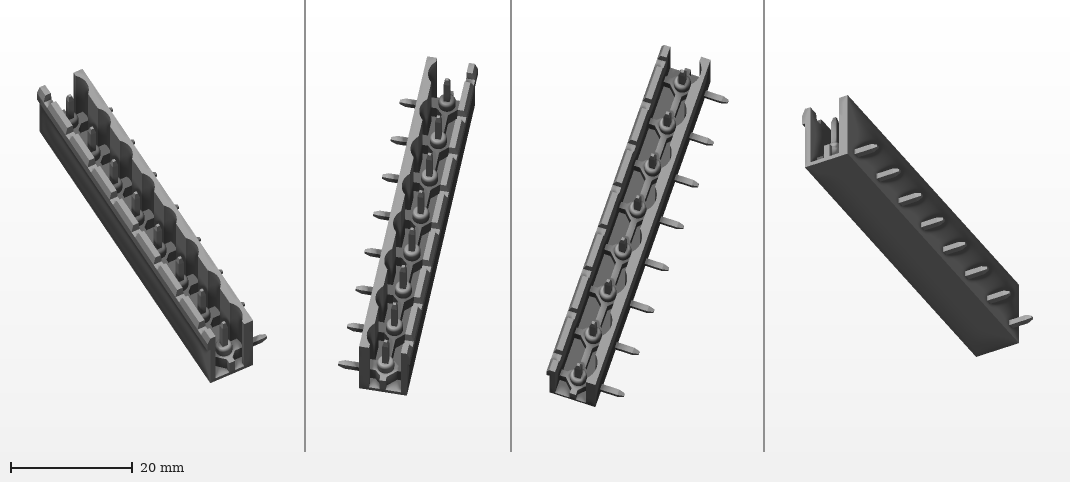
import cadquery as cq
import math


LENGTH = 59.15
DEPTH = 8.0
HEIGHT = 12.0
BACK_WALL = 1.65
FRONT_WALL = 1.0
FLOOR = 0.7
BACK_WALL_Y = DEPTH - BACK_WALL

PIN_COUNT = 8
PIN_SPAN = 53.35
PITCH = PIN_SPAN / (PIN_COUNT - 1)
FIRST_PIN_X = (LENGTH - PIN_SPAN) / 2
PIN_XS = [FIRST_PIN_X + i * PITCH for i in range(PIN_COUNT)]

PIN_SIZE = 1.0
PIN_TIP_SIZE = PIN_SIZE / 2
PIN_TAPER = 1.0
PIN_Y = 4.1
TAIL_Z = 1.95
PIN_TOP = 10.5
TAIL_END = 12.0

BEAD_OUT = 0.5
BEAD_BOTTOM = 9.0
BEAD_SHOULDER = 10.75

NOTCH_DEPTH = HEIGHT - BEAD_SHOULDER
NOTCH_BOTTOM_WIDTH = 1.2
NOTCH_DRAFT = 15.0
NOTCH_TOP_WIDTH = NOTCH_BOTTOM_WIDTH + 2 * NOTCH_DEPTH * math.tan(math.radians(NOTCH_DRAFT))

SCALLOP_RADIUS = 2.95
SCALLOP_DEPTH = 0.9
SCALLOP_Y = BACK_WALL_Y + SCALLOP_DEPTH - SCALLOP_RADIUS

RAIL_TOP = 3.2
RAIL_WIDTH = 1.05
PAD_HALF_LENGTH = 2.0
FRONT_RIB_WIDTH = 1.05
BACK_RIB_WIDTH = 2.0

COLLAR_DIAMETER = 2.8
COLLAR_TOP = 4.8
COLLAR_FILLET = 0.5


def box(x0, x1, y0, y1, z0, z1):
    """Box given by its limits on each axis."""
    return cq.Workplane("XY").box(x1 - x0, y1 - y0, z1 - z0, centered=False).translate((x0, y0, z0))


def make_shell():
    """Trough with open ends and a latch bead on the front wall."""
    profile = [
        (0, 0),
        (DEPTH, 0),
        (DEPTH, HEIGHT),
        (BACK_WALL_Y, HEIGHT),
        (BACK_WALL_Y, FLOOR),
        (FRONT_WALL, FLOOR),
        (FRONT_WALL, HEIGHT),
        (0, HEIGHT),
        (-BEAD_OUT, BEAD_SHOULDER),
        (-BEAD_OUT, BEAD_BOTTOM),
        (0, BEAD_BOTTOM),
    ]
    return cq.Workplane("YZ").polyline(profile).close().extrude(LENGTH)


def make_scallop(x):
    """Cylinder that hollows the back wall behind one pin."""
    height = HEIGHT - FLOOR
    cylinder = cq.Workplane("XY", origin=(x, SCALLOP_Y, FLOOR)).circle(SCALLOP_RADIUS).extrude(height)
    back_half = box(0, LENGTH, SCALLOP_Y, DEPTH, FLOOR, HEIGHT)
    return cylinder.intersect(back_half)


def make_notch(x):
    """Tapered notch through the front wall and its bead."""
    outline = [
        (x - NOTCH_BOTTOM_WIDTH / 2, BEAD_SHOULDER),
        (x + NOTCH_BOTTOM_WIDTH / 2, BEAD_SHOULDER),
        (x + NOTCH_TOP_WIDTH / 2, HEIGHT),
        (x - NOTCH_TOP_WIDTH / 2, HEIGHT),
    ]
    notch = cq.Workplane("XZ", origin=(0, FRONT_WALL, 0)).polyline(outline).close()
    return notch.extrude(FRONT_WALL + BEAD_OUT)


def make_pad(x):
    """Widened part of the rail with 45 degree flanks and ribs into both walls, topped by a collar."""
    rail_half = RAIL_WIDTH / 2
    front_half = FRONT_RIB_WIDTH / 2
    back_half = BACK_RIB_WIDTH / 2
    front_rib_y = PIN_Y - rail_half - (PAD_HALF_LENGTH - front_half)
    back_rib_y = PIN_Y + rail_half + (PAD_HALF_LENGTH - back_half)
    right_side = [
        (front_half, 0),
        (front_half, front_rib_y),
        (PAD_HALF_LENGTH, PIN_Y - rail_half),
        (PAD_HALF_LENGTH, PIN_Y + rail_half),
        (back_half, back_rib_y),
        (back_half, DEPTH),
    ]
    left_side = [(-px, py) for px, py in reversed(right_side)]
    pad = cq.Workplane("XY").polyline(right_side + left_side).close().extrude(RAIL_TOP)
    collar = (
        cq.Workplane("XY", origin=(0, PIN_Y, FLOOR))
        .circle(COLLAR_DIAMETER / 2)
        .extrude(COLLAR_TOP - FLOOR)
        .faces(">Z")
        .edges()
        .fillet(COLLAR_FILLET)
    )
    return pad.union(collar).translate((x, 0, 0))


def tapered_leg(plane, length):
    """Square bar along the plane's normal, ending in a tapered tip."""
    shank = length - PIN_TAPER
    bar = cq.Workplane(plane).rect(PIN_SIZE, PIN_SIZE).extrude(shank)
    tip = (
        cq.Workplane(plane)
        .workplane(offset=shank)
        .rect(PIN_SIZE, PIN_SIZE)
        .workplane(offset=PIN_TAPER)
        .rect(PIN_TIP_SIZE, PIN_TIP_SIZE)
        .loft()
    )
    return bar.union(tip)


def make_pin(x):
    """Pin bent at a right angle: an upright contact leg and a tail out of the back."""
    half = PIN_SIZE / 2
    up = cq.Plane(origin=(x, PIN_Y, TAIL_Z - half), xDir=(1, 0, 0), normal=(0, 0, 1))
    back = cq.Plane(origin=(x, PIN_Y - half, TAIL_Z), xDir=(1, 0, 0), normal=(0, 1, 0))
    contact = tapered_leg(up, PIN_TOP - (TAIL_Z - half))
    tail = tapered_leg(back, TAIL_END - (PIN_Y - half))
    return contact.union(tail)


def make_housing(pins):
    """Housing with a matching passage for every pin."""
    body = make_shell()
    for x in PIN_XS:
        body = body.cut(make_scallop(x)).cut(make_notch(x))
    rail_y = PIN_Y - RAIL_WIDTH / 2
    body = body.union(box(0, LENGTH, rail_y, rail_y + RAIL_WIDTH, 0, RAIL_TOP))
    for x in PIN_XS:
        body = body.union(make_pad(x))
    for pin in pins:
        body = body.cut(pin)
    return body


pins = [make_pin(x) for x in PIN_XS]
housing = make_housing(pins)

result = cq.Compound.makeCompound([housing.val(), *[pin.val() for pin in pins]])